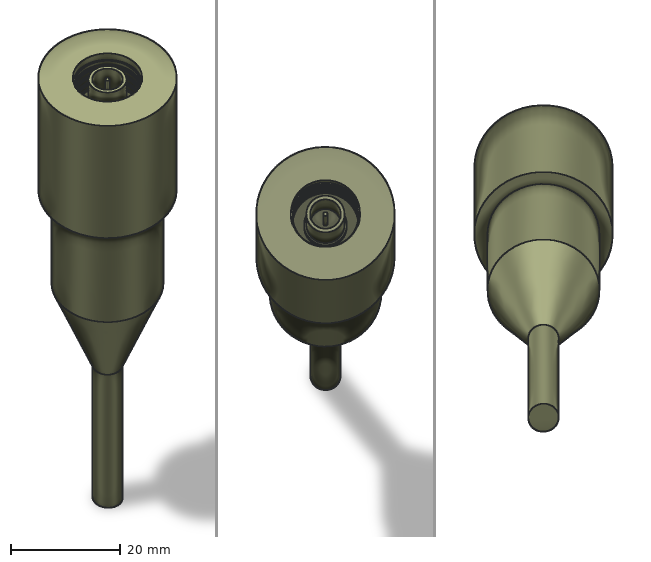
import cadquery as cq

TOTAL_LENGTH = 107.4
COLLAR_LENGTH = 28.7
BARREL_LENGTH = 23.9
CONE_LENGTH = 20.7
COLLAR_BASE = TOTAL_LENGTH - COLLAR_LENGTH
CONE_TOP = COLLAR_BASE - BARREL_LENGTH
CONE_BASE = CONE_TOP - CONE_LENGTH

COLLAR_DIAMETER = 25.4
BARREL_DIAMETER = 20.5
CABLE_DIAMETER = 5.6

CABLE_END_RISE = 0.3

SOCKET_DIAMETER = 12.7
SOCKET_DEPTH = 8.6
SOCKET_FLOOR = TOTAL_LENGTH - SOCKET_DEPTH
RIDGE_INNER_DIAMETER = 12.0
RIDGE_COUNT = 4
RIDGE_WIDTH = 0.9
RIDGE_PITCH = 1.7
FIRST_RIDGE_DEPTH = 1.6

SLEEVE_DIAMETER = 7.0
SLEEVE_BORE = 5.6
SLEEVE_RECESS = 0.4
SLEEVE_TOP = TOTAL_LENGTH - SLEEVE_RECESS
SLEEVE_BORE_DEPTH = 6.5
SHOULDER_DIAMETER = 7.8
SHOULDER_HEIGHT = 1.1
PIN_DIAMETER = 0.76


def cylinder(diameter, base, height):
    """Upright cylinder on the Z axis."""
    return cq.Workplane("XY", origin=(0, 0, base)).circle(diameter / 2).extrude(height)


def make_collar():
    """Coupling collar with a blind socket that has inner ridges."""
    collar = cylinder(COLLAR_DIAMETER, COLLAR_BASE, COLLAR_LENGTH)
    collar = collar.cut(cylinder(SOCKET_DIAMETER, SOCKET_FLOOR, SOCKET_DEPTH))
    for index in range(RIDGE_COUNT):
        ridge_base = TOTAL_LENGTH - FIRST_RIDGE_DEPTH - RIDGE_WIDTH - index * RIDGE_PITCH
        ridge = cylinder(SOCKET_DIAMETER, ridge_base, RIDGE_WIDTH)
        ridge = ridge.cut(cylinder(RIDGE_INNER_DIAMETER, ridge_base, RIDGE_WIDTH))
        collar = collar.union(ridge)
    return collar


def make_boot():
    """Cylindrical barrel that tapers down to the cable."""
    barrel = cylinder(BARREL_DIAMETER, CONE_TOP, BARREL_LENGTH)
    cone = (
        cq.Workplane("XY", origin=(0, 0, CONE_BASE))
        .circle(CABLE_DIAMETER / 2)
        .workplane(offset=CONE_LENGTH)
        .circle(BARREL_DIAMETER / 2)
        .loft()
    )
    return barrel.union(cone)


def make_cable():
    """Round cable below the boot, with its free end cut at a slight slant."""
    radius = CABLE_DIAMETER / 2
    end_cut = (
        cq.Workplane("XZ")
        .polyline([(radius, 0), (-radius, 0), (-radius, CABLE_END_RISE)])
        .close()
        .extrude(radius, both=True)
    )
    return cylinder(CABLE_DIAMETER, 0, CONE_BASE).cut(end_cut)


def make_contact():
    """Sleeve on a low shoulder, with a centre pin rising from its bore floor to its rim."""
    sleeve = cylinder(SLEEVE_DIAMETER, SOCKET_FLOOR, SLEEVE_TOP - SOCKET_FLOOR)
    shoulder = cylinder(SHOULDER_DIAMETER, SOCKET_FLOOR, SHOULDER_HEIGHT)
    bore_floor = SLEEVE_TOP - SLEEVE_BORE_DEPTH
    bore = cylinder(SLEEVE_BORE, bore_floor, SLEEVE_BORE_DEPTH)
    pin = cylinder(PIN_DIAMETER, bore_floor, SLEEVE_BORE_DEPTH)
    return sleeve.union(shoulder).cut(bore).union(pin)


collar = make_collar()
boot = make_boot()
cable = make_cable()
contact = make_contact()

result = cq.Compound.makeCompound([collar.val(), boot.val(), cable.val(), contact.val()])